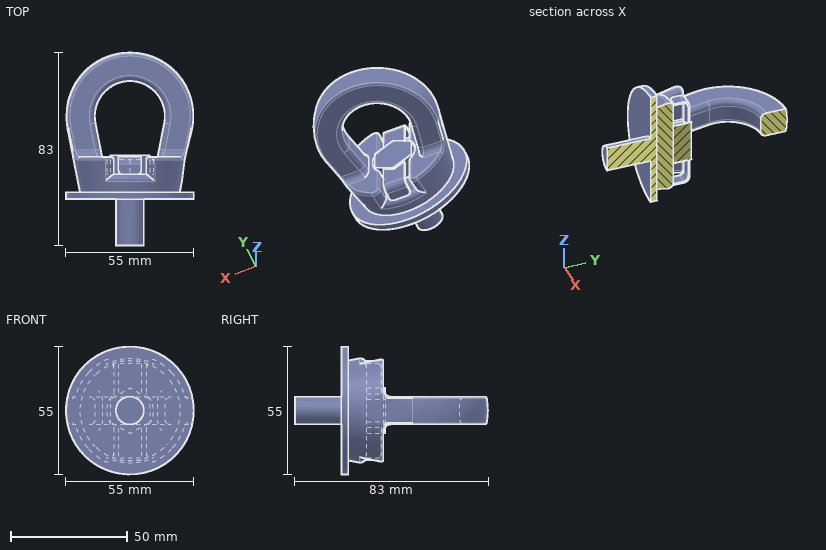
import cadquery as cq
import math


flange_diameter = 55.0
flange_thickness = 3.0
stud_diameter = 12.0
stud_length = 20.0

eye_height = 60.0
ring_outer_radius = 27.35
ring_inner_radius = 15.0
ring_thickness = 12.0
leg_angle = math.radians(11.0)
foot_height = 15.1
neck_radius = 3.0
outer_edge_radius = 1.0
inner_edge_radius = 2.5

notch_width = 14.0
notch_floor = 7.6
notch_edge_radius = 2.5

hex_across_flats = 17.0
hex_top = 15.9
recess_clearance = 0.2
tab_width = 9.8
tab_thickness = 1.0
tab_reach = 21.3
tab_bend_radius = 3.0
tab_bottom = notch_floor
tab_top = foot_height
tab_corner_radius = 1.8

ring_center = eye_height - ring_outer_radius
rim_angle = math.pi / 2 - leg_angle
rounding_end = notch_floor - notch_edge_radius / math.tan(rim_angle / 2) * math.cos(leg_angle)
hex_across_corners = hex_across_flats / math.cos(math.pi / 6)


def cylinder_on_y(diameter, start, end):
    return cq.Workplane("XZ", origin=(0, start, 0)).circle(diameter / 2).extrude(start - end)


def tangent_point(radius):
    """Point where the straight leg leaves an arc about the ring center."""
    return radius * math.cos(leg_angle), ring_center - radius * math.sin(leg_angle)


def leg_x(radius, y):
    """Half width between the straight legs at height y."""
    x_tangent, y_tangent = tangent_point(radius)
    return x_tangent - (y_tangent - y) * math.tan(leg_angle)


def make_base():
    flange = cylinder_on_y(flange_diameter, -flange_thickness, 0)
    stud = cylinder_on_y(stud_diameter, -flange_thickness - stud_length, -flange_thickness)
    return flange.union(stud)


def make_envelope():
    """Ball over a tangent cone, the outer surface of the whole eye."""
    mid_angle = (math.pi / 2 - leg_angle) / 2
    arc_middle = (
        ring_outer_radius * math.cos(mid_angle),
        ring_center + ring_outer_radius * math.sin(mid_angle),
    )
    return (
        cq.Workplane("XY")
        .lineTo(leg_x(ring_outer_radius, 0), 0)
        .lineTo(*tangent_point(ring_outer_radius))
        .threePointArc(arc_middle, (0, eye_height))
        .close()
        .revolve(360, (0, 0, 0), (0, 1, 0))
    )


def make_side_profile():
    """Wide foot that narrows through concave necks to the thickness of the ring."""
    half_ring = ring_thickness / 2
    half_foot = ring_outer_radius
    neck_end = foot_height + neck_radius
    return (
        cq.Workplane("YZ")
        .moveTo(0, -half_foot)
        .lineTo(foot_height, -half_foot)
        .lineTo(foot_height, -half_ring - neck_radius)
        .radiusArc((neck_end, -half_ring), neck_radius)
        .lineTo(eye_height, -half_ring)
        .lineTo(eye_height, half_ring)
        .lineTo(neck_end, half_ring)
        .radiusArc((foot_height, half_ring + neck_radius), neck_radius)
        .lineTo(foot_height, half_foot)
        .lineTo(0, half_foot)
        .close()
        .extrude(ring_outer_radius, both=True)
    )


def make_opening():
    """Ring opening with straight converging sides, carried down through the foot."""
    x_bottom = leg_x(ring_inner_radius, 0)
    x_tangent, y_tangent = tangent_point(ring_inner_radius)
    return (
        cq.Workplane("XY")
        .moveTo(-x_bottom, 0)
        .lineTo(x_bottom, 0)
        .lineTo(x_tangent, y_tangent)
        .threePointArc((0, ring_center + ring_inner_radius), (-x_tangent, y_tangent))
        .close()
        .extrude(ring_outer_radius, both=True)
    )


def make_notch():
    """Slot across the foot, over its whole height."""
    return (
        cq.Workplane("XY")
        .box(notch_width, foot_height, 2 * ring_outer_radius)
        .translate((0, foot_height / 2, 0))
    )


def make_notch_floor(envelope):
    """Round slab with a rounded rim that closes the bottom of the notches."""
    slab = envelope.intersect(cylinder_on_y(2 * ring_outer_radius, 0, notch_floor))
    return slab.faces(">Y").edges().fillet(notch_edge_radius)


def nearest_edge(point):
    """Selector for the edge whose centroid is nearest to a point."""
    return cq.selectors.NearestToPointSelector(point)


def make_eye():
    reach = ring_outer_radius
    envelope = make_envelope()
    eye = envelope.intersect(make_side_profile()).cut(make_opening())

    mouth_top = ring_center + ring_inner_radius - inner_edge_radius
    mouth_arcs = cq.selectors.BoxSelector((-1, ring_center, -reach), (1, mouth_top, reach))
    eye = eye.edges(mouth_arcs).fillet(inner_edge_radius)

    foot = envelope.intersect(cylinder_on_y(2 * reach, rounding_end, foot_height))
    below_rounding = cylinder_on_y(2 * reach, 0, rounding_end)
    eye = eye.cut(below_rounding).union(foot).cut(make_notch())

    upright_middle = (rounding_end + foot_height) / 2
    for side in (-1, 1):
        for end in (-1, 1):
            upright = (side * notch_width / 2, upright_middle, end * reach)
            eye = eye.edges("not(#Y)").edges(nearest_edge(upright)).fillet(notch_edge_radius)

    rim_point = (0, ring_center + ring_outer_radius / 2, ring_thickness / 2)
    eye = eye.edges(nearest_edge(rim_point)).fillet(outer_edge_radius)

    eye = eye.union(make_notch_floor(envelope))
    recess_diameter = hex_across_corners + 2 * recess_clearance
    return eye.cut(cylinder_on_y(recess_diameter, notch_floor, hex_top))


def make_hexagon():
    """Hexagonal prism with two of its corners toward the notches."""
    return (
        cq.Workplane("XZ", origin=(0, notch_floor, 0))
        .transformed(rotate=(0, 0, 90))
        .polygon(6, hex_across_corners)
        .extrude(notch_floor - hex_top)
    )


def make_strap():
    """Thin strap across the hexagon, bent down at both ends into tabs."""
    tab_height = tab_top - tab_bottom
    middle = (tab_top + tab_bottom) / 2
    strap = (
        cq.Workplane("XY", origin=(0, middle, 0))
        .box(tab_width, tab_height, 2 * tab_reach)
        .edges("|X and >Y")
        .fillet(tab_bend_radius)
        .edges("|Z and <Y")
        .fillet(tab_corner_radius)
    )
    hollow = (
        cq.Workplane("XY", origin=(0, middle - tab_thickness, 0))
        .box(tab_width, tab_height, 2 * (tab_reach - tab_thickness))
        .edges("|X and >Y")
        .fillet(tab_bend_radius - tab_thickness)
    )
    return strap.cut(hollow)


base = make_base()
eye = make_eye()
insert = make_hexagon().union(make_strap())

bodies = [body.solids().val() for body in (base, eye, insert)]
result = cq.Compound.makeCompound(bodies)